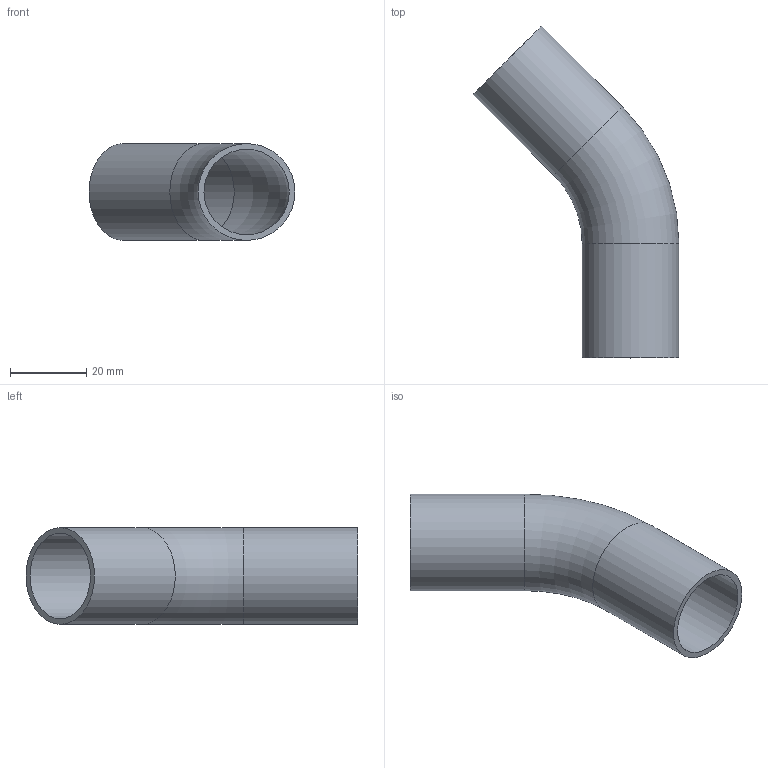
import cadquery as cq
import math

OUTER_DIAMETER = 25.4
INNER_DIAMETER = 22.4
BEND_RADIUS = 38.1
BEND_ANGLE = 45.0
LEG_LENGTH = 30.0


def point_on_bend(angle_degrees):
    """Centreline point at an angle along the bend; the bend starts at the end of the first leg."""
    angle = math.radians(angle_degrees)
    x = -BEND_RADIUS * (1 - math.cos(angle))
    y = LEG_LENGTH + BEND_RADIUS * math.sin(angle)
    return x, y


def make_centreline():
    """Straight leg along +Y, tangent arc, then a second straight leg."""
    bend_start = point_on_bend(0)
    bend_middle = point_on_bend(BEND_ANGLE / 2)
    bend_end = point_on_bend(BEND_ANGLE)
    turn = math.radians(BEND_ANGLE)
    far_end = (
        bend_end[0] - LEG_LENGTH * math.sin(turn),
        bend_end[1] + LEG_LENGTH * math.cos(turn),
    )
    return (
        cq.Workplane("XY")
        .moveTo(0, 0)
        .lineTo(*bend_start)
        .threePointArc(bend_middle, bend_end)
        .lineTo(*far_end)
    )


def make_tube():
    """Sweep the ring-shaped tube section along the centreline."""
    section = (
        cq.Workplane("XZ")
        .circle(OUTER_DIAMETER / 2)
        .circle(INNER_DIAMETER / 2)
    )
    return section.sweep(make_centreline())


result = make_tube()